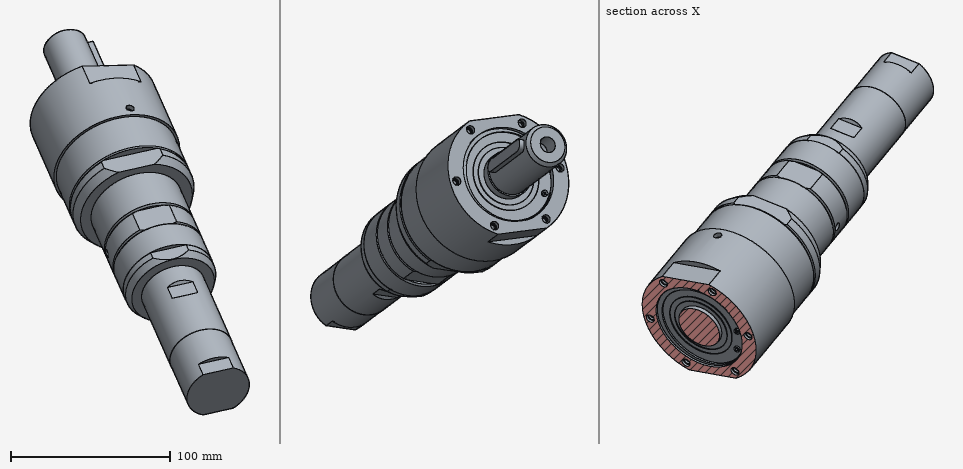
import cadquery as cq
import math


total_length = 322.0
collar_start = 59.2
housing_start = 61.2
ring_start = 110.8
nut_start = 138.8
nut_taper_start = 145.5
sleeve_start = 151.7
band_start = 180.5
band_end = 198.0
end_nut_start = 218.3
end_nut_taper_start = 223.0
rear_shaft_start = 228.0
rear_joint = 286.5

shaft_diameter = 28.0
collar_diameter = 30.0
housing_diameter = 83.0
ring_diameter = 80.0
nut_end_diameter = 73.7
sleeve_diameter = 60.0
end_nut_diameter = 59.5
end_nut_end_diameter = 54.5
rear_shaft_diameter = 41.5
rear_end_diameter = 41.2

shaft_chamfer = 2.3
groove_half_width = 1.0
groove_depth = 1.3
nut_groove_depth = 0.5

nut_flats = 70.0
band_flats = 54.7
end_nut_flats = 54.7
rear_slot_flats = 38.0
rear_end_flats = 36.0
rear_slot_start = 242.8
rear_slot_end = 252.8
rear_slot_slope = 1.0
rear_end_flat_start = 312.5

housing_tilt = 15.0
housing_flats = 75.5
housing_flat_end = 77.0

bolt_count = 6
bolt_circle_radius = 36.7
bolt_mouth_diameter = 5.5
bolt_core_diameter = 4.0
side_mouth_diameter = 5.0
side_core_diameter = 3.5
core_depth = 4.8
mouth_depth = 3.2
drill_point_angle = 118.0
housing_hole_x = 104.5
band_hole_x = 184.8

recess_diameter = 62.0
recess_depth = 4.2
clip_inner_diameter = 58.5
clip_offset = 1.5
clip_thickness = 1.3
clip_half_gap = 6.8
ear_diameter = 4.0
ear_hole_diameter = 1.55
ear_y = -26.5
ear_z = 7.7
seal_outer_diameter = 45.0
seal_inner_diameter = 38.0
seal_step = 0.5

key_start = 5.0
key_end = 54.7
key_width = 8.0
key_top = 17.0
centre_hole_diameter = 10.3
centre_hole_depth = 13.0


def turned_body():
    groove_radius = sleeve_diameter / 2 - groove_depth
    outline = [
        (0, shaft_diameter / 2 - shaft_chamfer),
        (shaft_chamfer, shaft_diameter / 2),
        (collar_start, shaft_diameter / 2),
        (collar_start, collar_diameter / 2),
        (housing_start, collar_diameter / 2),
        (housing_start, housing_diameter / 2),
        (ring_start, housing_diameter / 2),
        (ring_start, ring_diameter / 2),
        (nut_start - groove_half_width, ring_diameter / 2),
        (nut_start, ring_diameter / 2 - nut_groove_depth),
        (nut_start + groove_half_width, ring_diameter / 2),
        (nut_taper_start, ring_diameter / 2),
        (sleeve_start, nut_end_diameter / 2),
        (sleeve_start, sleeve_diameter / 2),
    ]
    for groove_x in (band_start, band_end):
        outline += [
            (groove_x - groove_half_width, sleeve_diameter / 2),
            (groove_x, groove_radius),
            (groove_x + groove_half_width, sleeve_diameter / 2),
        ]
    outline += [
        (end_nut_start, sleeve_diameter / 2),
        (end_nut_start, end_nut_diameter / 2),
        (end_nut_taper_start, end_nut_diameter / 2),
        (rear_shaft_start, end_nut_end_diameter / 2),
        (rear_shaft_start, rear_shaft_diameter / 2),
        (rear_joint, rear_shaft_diameter / 2),
        (rear_joint, rear_end_diameter / 2),
        (total_length, rear_end_diameter / 2),
        (total_length, 0),
    ]
    profile = cq.Workplane("XY").moveTo(0, 0)
    for point in outline:
        profile = profile.lineTo(*point)
    return profile.close().revolve(360, (0, 0, 0), (1, 0, 0))


def flat_pair(start, end, across, slope=0.0, tilt=0.0):
    """Cutters for two opposite flats; the end walls lean outwards by slope over the cut height."""
    height = housing_diameter
    lean = slope * height
    cutter = (
        cq.Workplane("XZ")
        .moveTo(start, across / 2)
        .lineTo(end, across / 2)
        .lineTo(end + lean, across / 2 + height)
        .lineTo(start - lean, across / 2 + height)
        .close()
        .extrude(housing_diameter, both=True)
    )
    cutter = turn(cutter, -tilt)
    return cutter.union(turn(cutter, 180))


def disc(diameter, x, length, y=0.0, z=0.0):
    return cq.Workplane("YZ", origin=(x, y, z)).circle(diameter / 2).extrude(length)


def cone(diameter, x, point_angle):
    """Cone with its base at x and its point towards +X."""
    depth = diameter / 2 / math.tan(math.radians(point_angle / 2))
    return cq.Workplane(cq.Solid.makeCone(diameter / 2, 0, depth, cq.Vector(x, 0, 0), cq.Vector(1, 0, 0)))


def drilled_hole(diameter, depth):
    """Cutter for a blind hole with a drill point that enters at X = 0 and runs along +X."""
    return disc(diameter, 0, depth).union(cone(diameter, depth, drill_point_angle))


def tapped_hole(mouth_diameter, core_diameter):
    """Cutter for a stepped blind hole that enters at X = 0 and runs along +X."""
    return drilled_hole(core_diameter, core_depth).union(disc(mouth_diameter, 0, mouth_depth))


def turn(shape, angle):
    return shape.rotate((0, 0, 0), (1, 0, 0), angle)


def cut_bolt_holes(body):
    hole = tapped_hole(bolt_mouth_diameter, bolt_core_diameter)
    hole = hole.translate((housing_start, 0, bolt_circle_radius))
    for i in range(bolt_count):
        body = body.cut(turn(hole, housing_tilt + i * 360 / bolt_count))
    return body


def side_hole(x, radius):
    """Cutter for a tapped hole that enters the top of a cylinder and points at its axis."""
    hole = tapped_hole(side_mouth_diameter, side_core_diameter)
    return hole.rotate((0, 0, 0), (0, 1, 0), 90).translate((x, 0, radius))


def retaining_ring():
    """Eccentric ring, open on the -Y side, with a holed ear at each end."""
    x = housing_start + recess_depth - clip_thickness
    ring = disc(recess_diameter, x, clip_thickness)
    ring = ring.cut(disc(clip_inner_diameter, x, clip_thickness, y=-clip_offset))
    gap = cq.Workplane("XY").box(housing_diameter, housing_diameter, 2 * clip_half_gap)
    ring = ring.cut(gap.translate((x, -housing_diameter / 2, 0)))
    for z in (ear_z, -ear_z):
        ring = ring.union(disc(ear_diameter, x, clip_thickness, ear_y, z))
        ring = ring.cut(disc(ear_hole_diameter, x, clip_thickness, ear_y, z))
    return ring


def seal():
    x = housing_start + recess_depth - seal_step
    return disc(seal_outer_diameter, x, seal_step).cut(disc(seal_inner_diameter, x, seal_step))


def face_recess():
    """Cutter for the housing recess, which leaves the shaft collar, the ring and the seal standing."""
    recess = disc(recess_diameter, housing_start, recess_depth)
    recess = recess.cut(disc(collar_diameter, housing_start, recess_depth))
    return recess.cut(retaining_ring()).cut(seal())


def shaft_key():
    """Round-ended key on the +Y side of the front shaft."""
    middle = (key_start + key_end) / 2
    return (
        cq.Workplane("XZ", origin=(middle, 0, 0))
        .slot2D(key_end - key_start, key_width)
        .extrude(-key_top)
    )


result = turned_body()
result = result.cut(flat_pair(housing_start, housing_flat_end, housing_flats, tilt=housing_tilt))
result = result.cut(flat_pair(nut_start, sleeve_start, nut_flats))
result = result.cut(flat_pair(band_start, band_end, band_flats))
result = result.cut(flat_pair(end_nut_start, rear_shaft_start, end_nut_flats))
result = result.cut(flat_pair(rear_slot_start, rear_slot_end, rear_slot_flats, rear_slot_slope))
result = result.cut(flat_pair(rear_end_flat_start, total_length, rear_end_flats))
result = result.cut(face_recess())
result = cut_bolt_holes(result)
result = result.cut(turn(side_hole(housing_hole_x, housing_diameter / 2), -housing_tilt))
result = result.cut(turn(side_hole(band_hole_x, sleeve_diameter / 2), 90))
result = result.union(shaft_key())
result = result.cut(drilled_hole(centre_hole_diameter, centre_hole_depth))